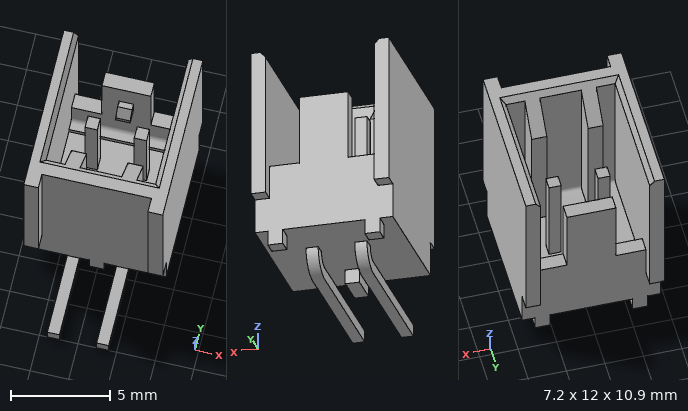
import cadquery as cq
import math


width = 7.2
depth = 7.19
height = 9.66
floor_top = 1.83
side_wall = 0.77
front_wall = 0.92
back_wall = 0.77
inner_width = width - 2 * side_wall
inner_back = depth - back_wall

ear_overhang = 0.76
ear_bottom = 1.83

tongue_width = 2.55
tongue_top = 7.27
low_back_top = 3.6

side_bevel = 0.25
front_bevel = 0.29
bevel_depth = 0.29

rib_spacing = 2.93
rib_width = 0.78
rib_reach = 2.32
front_fillet = 0.24
back_fillet = 0.29
ledge_reach = 0.58
ledge_height = 0.29
latch_width = 0.75
latch_top = 5.76
latch_flat = 0.31
latch_reach = 0.73
latch_drop = 0.48
latch_lip = 0.24

foot_height = 0.77
center_foot_width = 0.75
center_foot_depth = 1.78
rear_foot_width = 0.78
rear_foot_spacing = 5.07

pin_size = 0.64
pin_pitch = 2.55
pin_y = 4.47
pin_top = 6.93
pin_end = -4.06
bend_inner = 0.62
bend_outer = bend_inner + pin_size


def box(x_size, y_min, y_max, z_min, z_max, x_center=0):
    """Box centred across X, with explicit Y and Z limits."""
    return cq.Workplane("XY").box(
        x_size, y_max - y_min, z_max - z_min, centered=(True, False, False)
    ).translate((x_center, y_min, z_min))


def side_profile(x_size, x_center=0):
    """Sketch plane in YZ at the low-X side of a feature."""
    return cq.Workplane("YZ", origin=(x_center - x_size / 2, 0, 0))


def make_shell():
    """Housing walls and floor, with the stepped back wall."""
    ear_back = depth + ear_overhang
    shell = box(width, 0, depth, 0, height)
    shell = shell.union(box(width, -ear_overhang, ear_back, ear_bottom, height))
    shell = shell.cut(box(inner_width, -ear_overhang, 0, ear_bottom, height))
    shell = shell.cut(box(inner_width, front_wall, inner_back, floor_top, height))
    shell = shell.cut(box(inner_width, depth, ear_back, ear_bottom, height))
    shell = shell.cut(box(inner_width, inner_back, depth, low_back_top, height))
    return shell.union(box(tongue_width, inner_back, depth, floor_top, tongue_top))


def make_mouth_bevel():
    """Cutter for the mitred bevel along the side and front walls."""
    x_low = inner_width / 2
    x_high = x_low + side_bevel
    y_high = front_wall - front_bevel
    ear_back = depth + ear_overhang
    z_low = height - bevel_depth
    side_cut = (
        cq.Workplane("XZ", origin=(0, y_high, 0))
        .polyline([(-x_low, z_low), (x_low, z_low), (x_high, height), (-x_high, height)])
        .close()
        .extrude(y_high - ear_back)
    )
    front_limit = (
        side_profile(2 * x_high)
        .polyline([(front_wall, z_low), (ear_back, z_low), (ear_back, height), (y_high, height)])
        .close()
        .extrude(2 * x_high)
    )
    return side_cut.intersect(front_limit)


def make_rib(x_center):
    """Key rib whose sloping top continues the front bevel."""
    slope = bevel_depth / front_bevel
    rib_front_top = height - bevel_depth
    rib_back_top = rib_front_top - slope * (rib_reach - front_wall)
    return (
        side_profile(rib_width, x_center)
        .moveTo(front_wall, floor_top)
        .lineTo(front_wall, rib_front_top)
        .lineTo(rib_reach, rib_back_top)
        .lineTo(rib_reach, floor_top)
        .close()
        .extrude(rib_width)
    )


def make_corner_fillet(wall_y, base_z, radius, direction):
    """Concave fillet where a wall meets a level surface."""
    arc_mid = radius * (1 - math.sqrt(0.5))
    return (
        side_profile(inner_width)
        .moveTo(wall_y, base_z)
        .lineTo(wall_y, base_z + radius)
        .threePointArc(
            (wall_y + direction * arc_mid, base_z + arc_mid),
            (wall_y + direction * radius, base_z),
        )
        .close()
        .extrude(inner_width)
    )


def make_latch():
    """Wedge on the inner face of the tongue."""
    return (
        side_profile(latch_width)
        .moveTo(inner_back, latch_top)
        .lineTo(inner_back - latch_flat, latch_top)
        .lineTo(inner_back - latch_reach, latch_top - latch_drop)
        .lineTo(inner_back - latch_reach, latch_top - latch_drop - latch_lip)
        .lineTo(inner_back, latch_top - latch_drop - latch_lip)
        .close()
        .extrude(latch_width)
    )


def make_pin(x_center):
    """Upright square pin bent forward below the housing."""
    pin_back = pin_y + pin_size / 2
    pin_front = pin_y - pin_size / 2
    bend_y = pin_front - bend_inner
    diagonal = math.sqrt(0.5)
    return (
        side_profile(pin_size, x_center)
        .moveTo(pin_front, pin_top)
        .lineTo(pin_back, pin_top)
        .lineTo(pin_back, 0)
        .threePointArc((bend_y + bend_outer * diagonal, -bend_outer * diagonal), (bend_y, -bend_outer))
        .lineTo(pin_end, -bend_outer)
        .lineTo(pin_end, -bend_inner)
        .lineTo(bend_y, -bend_inner)
        .threePointArc((bend_y + bend_inner * diagonal, -bend_inner * diagonal), (pin_front, 0))
        .close()
        .extrude(pin_size)
    )


result = make_shell().cut(make_mouth_bevel())

ledge_top = floor_top + ledge_height
result = result.union(box(inner_width, inner_back - ledge_reach, inner_back, floor_top, ledge_top))
result = result.union(make_corner_fillet(inner_back, ledge_top, back_fillet, -1))
result = result.union(make_corner_fillet(front_wall, floor_top, front_fillet, 1))
result = result.union(make_latch())

result = result.union(box(center_foot_width, 0, center_foot_depth, -foot_height, 0))

for side in (-1, 1):
    result = result.union(make_rib(side * rib_spacing / 2))
    rear_foot_x = side * rear_foot_spacing / 2
    result = result.union(box(rear_foot_width, inner_back, depth, -foot_height, 0, rear_foot_x))
    result = result.union(make_pin(side * pin_pitch / 2))